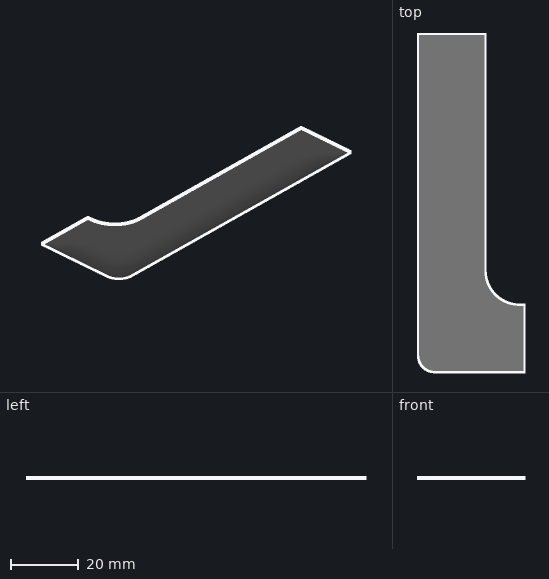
import cadquery as cq

length = 100.0
foot_length = 31.5
thickness = 0.5

leg_width = 20.0

inner_radius = 10.0
outer_radius = 5.0

plate = (
    cq.Workplane("XY")
    .polyline([
        (0, 0),
        (foot_length, 0),
        (foot_length, leg_width),
        (leg_width, leg_width),
        (leg_width, length),
        (0, length),
    ])
    .close()
    .extrude(thickness)
)

inner_corner = cq.selectors.NearestToPointSelector((leg_width, leg_width, thickness / 2))
outer_corner = cq.selectors.NearestToPointSelector((0, 0, thickness / 2))
plate = plate.edges(inner_corner).fillet(inner_radius)
result = plate.edges(outer_corner).fillet(outer_radius)